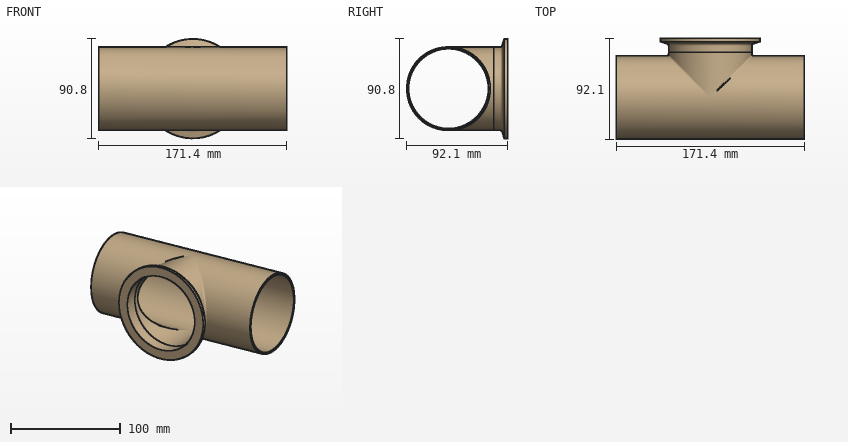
import cadquery as cq
import math

RUN_LENGTH = 171.4
TUBE_RADIUS = 76.1 / 2
WALL = 1.7
BORE_RADIUS = TUBE_RADIUS - WALL
JUNCTION_FILLET = 1.4

BRANCH_REACH = 54.0
FERRULE_LENGTH = 12.7
FLANGE_RADIUS = 90.8 / 2
RIM_THICKNESS = 3.3
FLANGE_ANGLE = 17.0
NECK_FILLET = 1.5
WELD_Y = BRANCH_REACH - FERRULE_LENGTH


def run_cylinder(radius):
    """Cylinder along X, centred on the origin."""
    return cq.Workplane("YZ").circle(radius).extrude(RUN_LENGTH / 2, both=True)


def branch_cylinder(radius):
    """Cylinder along Y from the run axis to the weld."""
    return cq.Workplane("XZ").circle(radius).extrude(-WELD_Y)


def make_tee():
    """Equal tee with a filleted outer junction and open bores."""
    outside = run_cylinder(TUBE_RADIUS).union(branch_cylinder(TUBE_RADIUS))
    outside = outside.edges("%ELLIPSE").fillet(JUNCTION_FILLET)
    return outside.cut(run_cylinder(BORE_RADIUS)).cut(branch_cylinder(BORE_RADIUS))


def make_ferrule():
    """Turned neck with a tapered clamp flange at its outer end."""
    taper_drop = (FLANGE_RADIUS - TUBE_RADIUS) * math.tan(math.radians(FLANGE_ANGLE))
    rim_y = BRANCH_REACH - RIM_THICKNESS
    neck_y = rim_y - taper_drop
    profile = [
        (BORE_RADIUS, WELD_Y),
        (TUBE_RADIUS, WELD_Y),
        (TUBE_RADIUS, neck_y),
        (FLANGE_RADIUS, rim_y),
        (FLANGE_RADIUS, BRANCH_REACH),
        (BORE_RADIUS, BRANCH_REACH),
    ]
    body = cq.Workplane("XY").polyline(profile).close().revolve(360, (0, 0, 0), (0, 1, 0))
    neck_edge = body.edges("%CIRCLE").edges(
        cq.selectors.NearestToPointSelector((TUBE_RADIUS, neck_y, 0))
    )
    return neck_edge.fillet(NECK_FILLET)


tee = make_tee()
ferrule = make_ferrule()
result = cq.Compound.makeCompound([tee.solids().val(), ferrule.solids().val()])